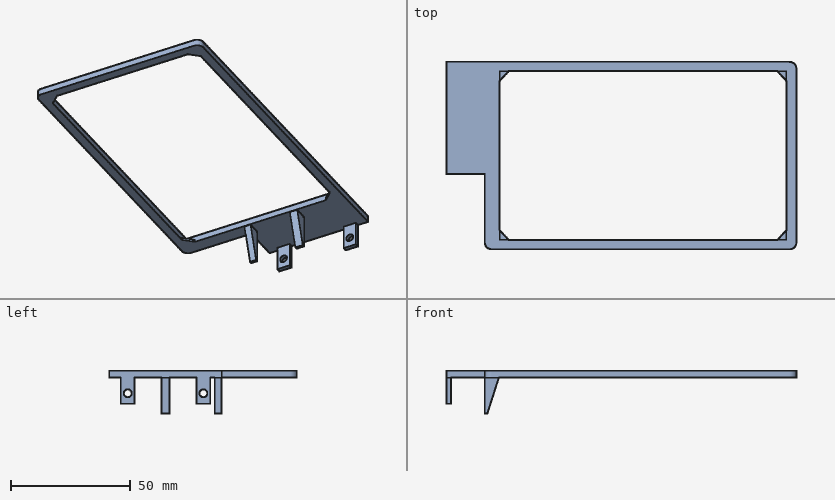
import cadquery as cq

length = 146.4
width = 78.5
overall_height = 18.0
plate_thickness = 3.0
pad_overhang = 16.0
pad_width = 47.0
corner_radius = 3.0

window_left = 22.3
end_rail = 4.2
side_rail = 4.0
window_right = length - end_rail
window_back = width - side_rail

ledge_along_x = 3.8
ledge_along_y = 4.1
ledge_thickness = 1.0

tab_thickness = 1.9
tab_width = 5.9
tab_drop = 11.0
tab_center_offsets = (7.8, 39.4)
hole_diameter = 3.2
hole_drop = 6.6

leg_drop = overall_height - plate_thickness
leg_root = 6.0
leg_tip = 1.2
back_leg_offset = 21.8
back_leg_width = 3.5
front_leg_width = 3.0


def make_plate():
    frame = cq.Workplane("XY").box(length - pad_overhang, width, plate_thickness, centered=False)
    frame = frame.translate((pad_overhang, 0, 0))
    front_left = frame.edges("|Z").edges("<X").edges("<Y")
    right_pair = frame.edges("|Z").edges(">X")
    frame = frame.newObject(front_left.vals() + right_pair.vals()).fillet(corner_radius)
    pad = cq.Workplane("XY").box(window_left, pad_width, plate_thickness, centered=False)
    pad = pad.translate((0, width - pad_width, 0))
    window = cq.Workplane("XY").box(
        window_right - window_left, window_back - side_rail, plate_thickness, centered=False
    )
    return frame.union(pad).cut(window.translate((window_left, side_rail, 0)))


def make_ledge(x, y, x_direction, y_direction):
    """Triangle with its right angle in a window corner."""
    return (
        cq.Workplane("XY")
        .moveTo(x, y)
        .lineTo(x + x_direction * ledge_along_x, y)
        .lineTo(x, y + y_direction * ledge_along_y)
        .close()
        .extrude(ledge_thickness)
    )


def make_tab(center_y):
    tab = cq.Workplane("XY").box(tab_thickness, tab_width, tab_drop, centered=(False, True, False))
    hole = cq.Workplane("YZ").center(0, tab_drop - hole_drop).circle(hole_diameter / 2)
    return tab.cut(hole.extrude(tab_thickness)).translate((0, center_y, -tab_drop))


def make_leg(front_y, leg_width):
    """Wedge with a vertical outer face and a sloping inner face."""
    profile = (
        cq.Workplane("XZ", origin=(pad_overhang, front_y, 0))
        .lineTo(leg_root, 0)
        .lineTo(leg_tip, -leg_drop)
        .lineTo(0, -leg_drop)
        .close()
    )
    return profile.extrude(-leg_width)


result = make_plate()

for corner_x, x_direction in ((window_left, 1), (window_right, -1)):
    for corner_y, y_direction in ((side_rail, 1), (window_back, -1)):
        result = result.union(make_ledge(corner_x, corner_y, x_direction, y_direction))

for center_offset in tab_center_offsets:
    result = result.union(make_tab(width - center_offset))

result = result.union(make_leg(width - back_leg_offset - back_leg_width, back_leg_width))
result = result.union(make_leg(width - pad_width, front_leg_width))